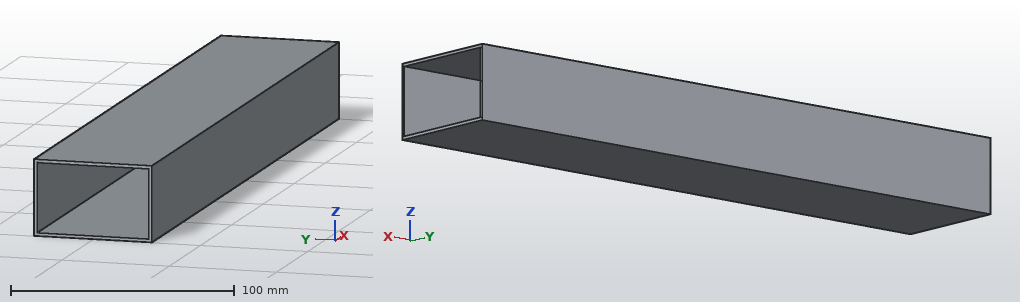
import cadquery as cq

length = 300.0
width = 55.0
height = 35.0
wall = 1.5

outer = cq.Workplane("YZ").rect(width, height).extrude(length)
bore = cq.Workplane("YZ").rect(width - 2 * wall, height - 2 * wall).extrude(length)

result = outer.cut(bore)